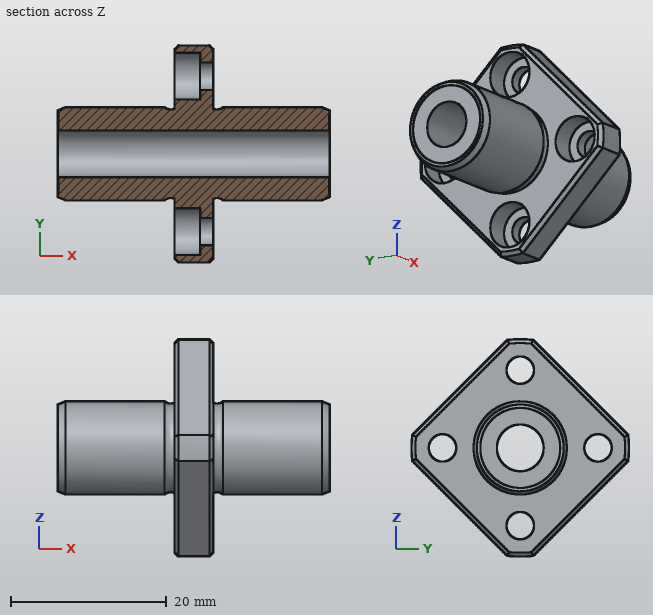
import cadquery as cq
import math

length = 35.0
barrel_diameter = 12.0
bore_diameter = 6.0

end_bevel_length = 1.0
end_bevel_depth = 0.42
end_recess_diameter = 10.3
end_recess_depth = 0.07

flange_start = 15.0
flange_thickness = 5.0
flange_across_flats = 22.0
flange_corner_diameter = 28.0
flange_chamfer = 0.52
flange_end = flange_start + flange_thickness

relief_width = 1.25
relief_depth = 0.28
relief_arc_radius = 1.22

hole_count = 4
hole_circle_diameter = 20.0
hole_diameter = 3.5
counterbore_diameter = 6.0
counterbore_depth = 3.3


def cylinder(x_start, x_length, diameter):
    """Cylinder about the X axis."""
    return cq.Workplane("YZ", origin=(x_start, 0, 0)).circle(diameter / 2).extrude(x_length)


def make_barrel():
    """Revolve the barrel with bevelled ends and a concave relief on each side of the flange."""
    radius = barrel_diameter / 2
    end_radius = radius - end_bevel_depth
    relief_radius = radius - relief_depth

    arc_centre_radius = relief_radius + relief_arc_radius
    deepest_from_edge = math.sqrt(relief_arc_radius**2 - (relief_arc_radius - relief_depth) ** 2)
    deepest_from_flange = relief_width - deepest_from_edge
    foot_radius = arc_centre_radius - math.sqrt(relief_arc_radius**2 - deepest_from_flange**2)

    profile = (
        cq.Workplane("XY")
        .moveTo(0, 0)
        .lineTo(0, end_radius)
        .lineTo(end_bevel_length, radius)
        .lineTo(flange_start - relief_width, radius)
        .threePointArc((flange_start - deepest_from_flange, relief_radius), (flange_start, foot_radius))
        .lineTo(flange_end, foot_radius)
        .threePointArc((flange_end + deepest_from_flange, relief_radius), (flange_end + relief_width, radius))
        .lineTo(length - end_bevel_length, radius)
        .lineTo(length, end_radius)
        .lineTo(length, 0)
        .close()
    )
    return profile.revolve(360, (0, 0, 0), (1, 0, 0))


def make_flange():
    """Square plate on its corner, its corners trimmed by a cylinder and both rims chamfered."""
    square = (
        cq.Workplane("YZ", origin=(flange_start, 0, 0))
        .transformed(rotate=(0, 0, 45))
        .rect(flange_across_flats, flange_across_flats)
        .extrude(flange_thickness)
    )
    plate = square.intersect(cylinder(flange_start, flange_thickness, flange_corner_diameter))
    return plate.faces("<X or >X").chamfer(flange_chamfer)


def cut_mounting_holes(body):
    """Holes on the Y and Z axes, counterbored from the -X face of the flange."""
    for index in range(hole_count):
        angle = math.radians(index * 360 / hole_count)
        y = hole_circle_diameter / 2 * math.cos(angle)
        z = hole_circle_diameter / 2 * math.sin(angle)
        hole = cylinder(flange_start, flange_thickness, hole_diameter)
        counterbore = cylinder(flange_start, counterbore_depth, counterbore_diameter)
        body = body.cut(hole.union(counterbore).translate((0, y, z)))
    return body


def cut_bore(body):
    """Through bore with a shallow recess in each end face."""
    body = body.cut(cylinder(0, length, bore_diameter))
    body = body.cut(cylinder(0, end_recess_depth, end_recess_diameter))
    return body.cut(cylinder(length - end_recess_depth, end_recess_depth, end_recess_diameter))


flange = cut_mounting_holes(make_flange())
result = cut_bore(make_barrel().union(flange))